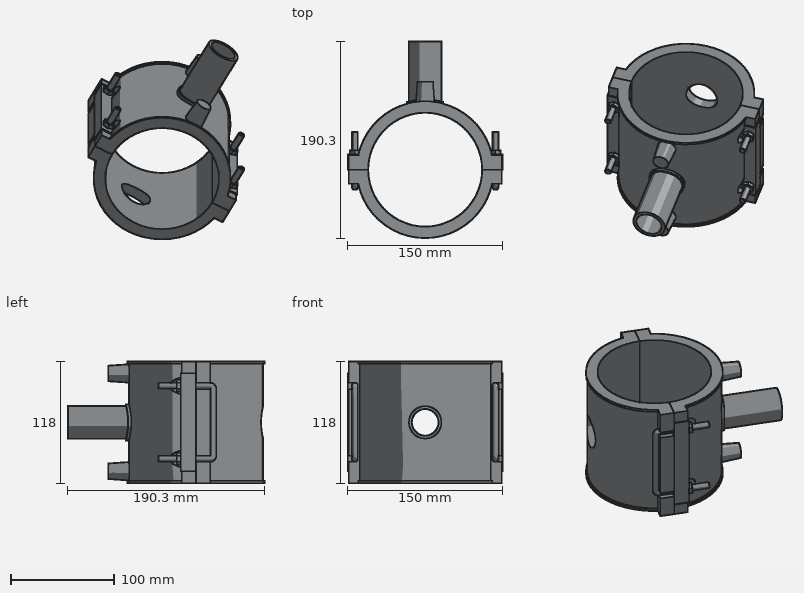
import cadquery as cq
import math

height = 118.0
bore_radius = 55.0
shell_radius = 65.0
rim_radius = 66.3
rim_height = 2.5

flange_reach = 74.1
flange_depth = 13.75
split_gap = 0.1

plate_reach = 75.0
plate_thickness = 1.0
plate_depth = flange_depth + plate_thickness
plate_length = 95.0

bolt_diameter = 6.0
bolt_radius = bolt_diameter / 2
bolt_x = 68.0
bolt_leg_z = 35.3
bolt_end_y = 36.5
bolt_end_chamfer = 0.5
slot_clearance = 0.05
slot_height = bolt_diameter + 2 * slot_clearance
bolt_bend_radius = 3.1
bolt_bar_seating = 0.1
bolt_bar_y = bolt_bar_seating - (flange_depth + bolt_radius)

nut_width = 10.0
nut_height = 4.0
pocket_start_radius = 9.5
pocket_end_radius = 8.0
pocket_length = 12.0

pipe_diameter = 32.0
pipe_bore_diameter = 0.8 * pipe_diameter
front_hole_diameter = 0.98 * pipe_diameter
collar_diameter = 1.1 * pipe_diameter
pipe_end_y = 124.0
collar_radius = 67.8

peg_z = 47.3
peg_end_y = 85.0
peg_end_diameter = 15.2
peg_taper = 4.0


def z_cylinder(radius, length):
    """Vertical cylinder centred on the origin."""
    return cq.Workplane("XY").circle(radius).extrude(length / 2, both=True)


def y_plane(x, y, z):
    """Workplane at a point, facing +Y."""
    return cq.Workplane(cq.Plane((x, y, z), xDir=(1, 0, 0), normal=(0, 1, 0)))


def y_cylinder(diameter, start_y, end_y, x=0, z=0):
    """Cylinder along Y between two Y positions."""
    return y_plane(x, start_y, z).circle(diameter / 2).extrude(end_y - start_y)


def y_cone(start_radius, end_radius, start_y, end_y, x, z):
    """Cone frustum along Y between two Y positions."""
    base = cq.Vector(x, start_y, z)
    axis = cq.Vector(0, 1, 0)
    cone = cq.Solid.makeCone(start_radius, end_radius, end_y - start_y, base, axis)
    return cq.Workplane(cone)


def make_ring():
    """Clamp ring with end rims and flanges, still without its bore."""
    ring = z_cylinder(shell_radius, height)
    rim_centre_z = (height - rim_height) / 2
    for z in (-rim_centre_z, rim_centre_z):
        ring = ring.union(z_cylinder(rim_radius, rim_height).translate((0, 0, z)))
    return ring.union(cq.Workplane().box(2 * flange_reach, 2 * flange_depth, height))


def cut_nut_pockets(ring):
    """Tapered clearance behind the rear flanges, around each nut."""
    for x in (-bolt_x, bolt_x):
        for z in (-bolt_leg_z, bolt_leg_z):
            pocket = y_cone(pocket_start_radius, pocket_end_radius,
                            flange_depth, flange_depth + pocket_length, x, z)
            ring = ring.cut(pocket)
    return ring


def cut_bolt_slots(ring):
    """Slots in the front flanges, open to the outside, for the bolt legs."""
    for side in (-1, 1):
        for z in (-bolt_leg_z, bolt_leg_z):
            slot_length = flange_reach - bolt_x
            slot = cq.Workplane().box(slot_length, flange_depth, slot_height)
            slot_x = side * (bolt_x + slot_length / 2)
            ring = ring.cut(slot.translate((slot_x, -flange_depth / 2, z)))
    return ring


def make_plates():
    """Plates lying over the outer and rear faces of the rear flanges."""
    block = cq.Workplane().box(2 * plate_reach, plate_depth, plate_length)
    return block.translate((0, plate_depth / 2, 0))


def make_u_bolt(x):
    """U-bolt with two legs along Y, a vertical bar, round bends and nuts."""
    bend_point = bolt_bend_radius * (1 - math.sqrt(0.5))
    path = (
        cq.Workplane("YZ", origin=(x, 0, 0))
        .moveTo(bolt_end_y, -bolt_leg_z)
        .lineTo(bolt_bar_y + bolt_bend_radius, -bolt_leg_z)
        .threePointArc(
            (bolt_bar_y + bend_point, -bolt_leg_z + bend_point),
            (bolt_bar_y, -bolt_leg_z + bolt_bend_radius),
        )
        .lineTo(bolt_bar_y, bolt_leg_z - bolt_bend_radius)
        .threePointArc(
            (bolt_bar_y + bend_point, bolt_leg_z - bend_point),
            (bolt_bar_y + bolt_bend_radius, bolt_leg_z),
        )
        .lineTo(bolt_end_y, bolt_leg_z)
    )
    bolt = y_plane(x, bolt_end_y, -bolt_leg_z).circle(bolt_radius).sweep(path)
    bolt = bolt.faces(">Y").chamfer(bolt_end_chamfer)
    for z in (-bolt_leg_z, bolt_leg_z):
        nut = y_plane(x, plate_depth, z).transformed(rotate=(0, 0, 90))
        nut = nut.polygon(6, nut_width / math.cos(math.pi / 6)).extrude(nut_height)
        bolt = bolt.union(nut)
    return bolt


def make_branch():
    """Branch pipe with a collar that follows the shell surface."""
    collar = y_cylinder(collar_diameter, 0, rim_radius + pipe_diameter)
    collar = collar.intersect(z_cylinder(collar_radius, height))
    return y_cylinder(pipe_diameter, 0, pipe_end_y).union(collar)


def make_peg(z):
    """Solid peg that widens toward the shell."""
    end_radius = peg_end_diameter / 2
    root_radius = end_radius + (peg_end_y - bore_radius) * math.tan(math.radians(peg_taper))
    return y_cone(root_radius, end_radius, bore_radius, peg_end_y, 0, z)


body = cut_bolt_slots(cut_nut_pockets(make_ring())).union(make_plates())
body = body.union(make_branch())
for peg_height in (-peg_z, peg_z):
    body = body.union(make_peg(peg_height))

body = body.cut(z_cylinder(bore_radius, height))
body = body.cut(y_cylinder(pipe_bore_diameter, 0, pipe_end_y))
body = body.cut(y_cylinder(front_hole_diameter, -rim_radius, 0))
body = body.cut(cq.Workplane().box(2 * plate_reach, split_gap, height))

for bolt_side in (-1, 1):
    body = body.union(make_u_bolt(bolt_side * bolt_x))

result = body